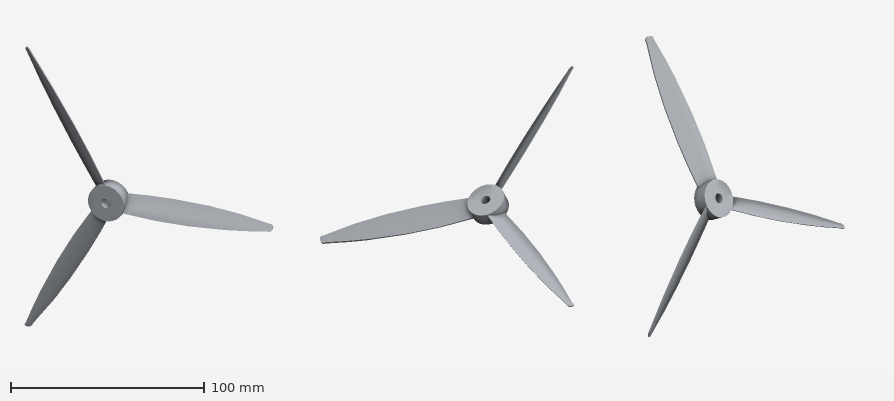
import cadquery as cq
import math

HUB_RADIUS = 10.0
HUB_LENGTH = 8.0
BORE_RADIUS = 2.5

BLADE_COUNT = 3
BLADE_PITCH = 36.5
TIP_RADIUS = 91.8
ROOT_RADIUS = 6.4
FRONT_OFFSET = 0.5
FULL_THICKNESS = 1.1
TRAILING_EDGE_THICKNESS = 0.5

NOSE_START = -2.2
NOSE_END = -7.7
NOSE_EDGE_THICKNESS = 0.2

WIDEST_RADIUS = 35.0
OUTER_RADIUS = 68.5
TIP_START_RADIUS = 89.6
TRAILING_WIDTHS = (4.1, 5.3, 4.1, 1.8)
LEADING_WIDTHS = (4.1, 5.3, 3.7, 1.3)

SECTION_HALF_WIDTH = -NOSE_END


def make_hub():
    return (
        cq.Workplane("XZ")
        .circle(HUB_RADIUS)
        .extrude(HUB_LENGTH / 2, both=True)
    )


def make_blade_section():
    """Constant chord section swept along X; the front face points to -Y and the chord lies along Z."""
    front = -FRONT_OFFSET
    back = front + FULL_THICKNESS
    nose_length = NOSE_START - NOSE_END
    nose_drop = FULL_THICKNESS - NOSE_EDGE_THICKNESS
    nose_radius = (nose_length**2 + nose_drop**2) / (2 * nose_drop)
    half_angle = math.asin(nose_length / nose_radius) / 2
    nose_middle = (
        front + nose_radius * (1 - math.cos(half_angle)),
        NOSE_START - nose_radius * math.sin(half_angle),
    )
    return (
        cq.Workplane("YZ", origin=(ROOT_RADIUS, 0, 0))
        .moveTo(front + TRAILING_EDGE_THICKNESS, SECTION_HALF_WIDTH)
        .lineTo(front, SECTION_HALF_WIDTH)
        .lineTo(front, NOSE_START)
        .threePointArc(nose_middle, (front + nose_drop, NOSE_END))
        .lineTo(back, NOSE_END)
        .close()
        .extrude(TIP_RADIUS - ROOT_RADIUS)
    )


def make_blade_outline():
    """Prism along Y with the blade's lens-shaped outline and rounded tip."""
    stations = (ROOT_RADIUS, WIDEST_RADIUS, OUTER_RADIUS, TIP_START_RADIUS)
    trailing = list(zip(stations, TRAILING_WIDTHS))
    leading = [(x, -width) for x, width in zip(stations, LEADING_WIDTHS)]
    leading.reverse()
    tip_middle = (TIP_RADIUS, (TRAILING_WIDTHS[-1] - LEADING_WIDTHS[-1]) / 2)
    return (
        cq.Workplane("XZ")
        .moveTo(*trailing[0])
        .spline(trailing[1:], includeCurrent=True)
        .threePointArc(tip_middle, leading[0])
        .spline(leading[1:], includeCurrent=True)
        .close()
        .extrude(HUB_LENGTH, both=True)
    )


def make_blade():
    swept_section = make_blade_section().rotate((0, 0, 0), (1, 0, 0), -BLADE_PITCH)
    return swept_section.intersect(make_blade_outline())


blade = make_blade()
result = make_hub()
for index in range(BLADE_COUNT):
    angle = index * 360 / BLADE_COUNT
    result = result.union(blade.rotate((0, 0, 0), (0, 1, 0), angle))

bore = cq.Workplane("XZ").circle(BORE_RADIUS).extrude(HUB_LENGTH, both=True)
result = result.cut(bore)